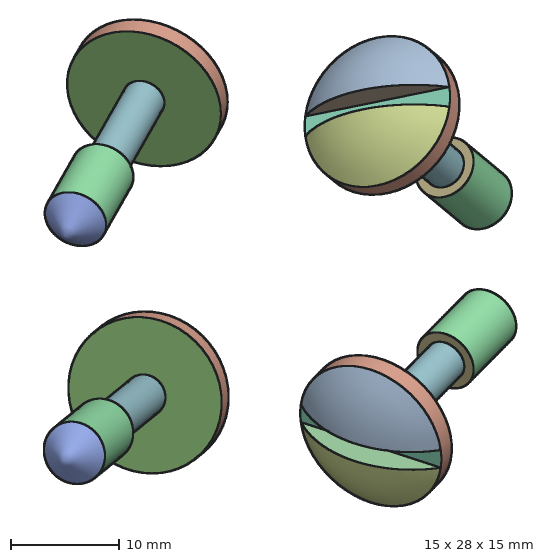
import cadquery as cq
import math

total_length = 27.98
head_radius = 15.0 / 2
rim_thickness = 2.0
shank_radius = 4.0 / 2
shank_length = 12.0
tip_radius = 6.0 / 2
tip_length = 8.0
cone_length = 3.0
slot_width = 2.0

tip_start = cone_length
shank_start = tip_start + tip_length
head_start = shank_start + shank_length
dome_start = head_start + rim_thickness

dome_height = total_length - dome_start
slot_half = slot_width / 2
center_depth = (head_radius**2 - slot_half**2 - dome_height**2) / (2 * dome_height)
sphere_radius = math.hypot(head_radius, center_depth)
sphere_center = dome_start - center_depth
apex = sphere_center + sphere_radius
arc_angle = math.atan2(head_radius, center_depth) / 2
arc_middle = (
    sphere_radius * math.sin(arc_angle),
    sphere_center + sphere_radius * math.cos(arc_angle),
)


def turned_body():
    """Point, tip, shank and domed head revolved about Y."""
    profile = (
        cq.Workplane("XY")
        .moveTo(0, 0)
        .lineTo(tip_radius, tip_start)
        .lineTo(tip_radius, shank_start)
        .lineTo(shank_radius, shank_start)
        .lineTo(shank_radius, head_start)
        .lineTo(head_radius, head_start)
        .lineTo(head_radius, dome_start)
        .threePointArc(arc_middle, (0, apex))
        .close()
    )
    return profile.revolve(360, (0, 0, 0), (0, 1, 0))


def driver_slot():
    """Slot along X through the full height of the dome."""
    slot_length = 2 * head_radius
    slot_depth = apex - dome_start
    return (
        cq.Workplane("XY")
        .box(slot_length, slot_depth, slot_width, centered=(True, False, True))
        .translate((0, dome_start, 0))
    )


result = turned_body().cut(driver_slot())